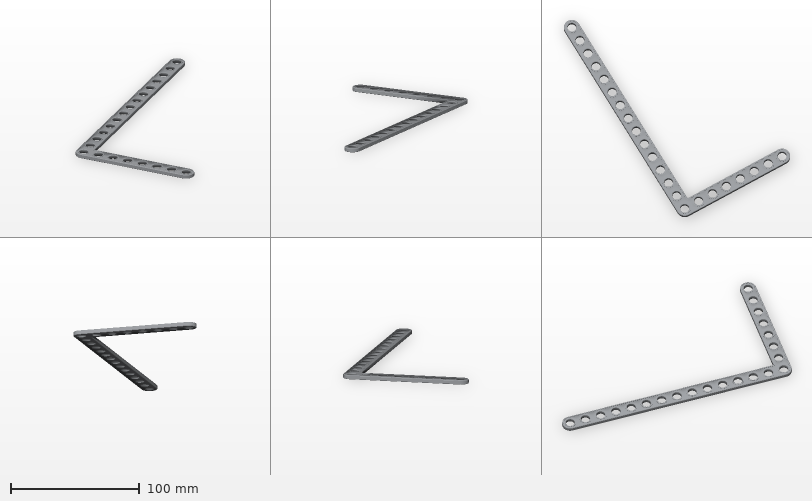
import cadquery as cq

LONG_ARM_HOLES = 15
SHORT_ARM_HOLES = 8
LENGTH = 187.5
THICKNESS = 3.2
HOLE_DIAMETER = 7.0
COLLAR_DIAMETER = 9.2
RIM_WIDTH = 1.1
FLOOR_DEPTH = 0.25
CHAMFER = 0.32

pitch = LENGTH / LONG_ARM_HOLES
arm_width = pitch
short_span = (SHORT_ARM_HOLES - 1) * pitch
long_span = (LONG_ARM_HOLES - 1) * pitch

hole_centres = [(i * pitch, 0) for i in range(SHORT_ARM_HOLES)]
hole_centres += [(0, i * pitch) for i in range(1, LONG_ARM_HOLES)]


def l_plate(width, bottom, height):
    """L-shaped plate with round ends and a round outer corner."""
    short_arm = (
        cq.Workplane("XY", origin=(short_span / 2, 0, bottom))
        .slot2D(short_span + width, width)
        .extrude(height)
    )
    long_arm = (
        cq.Workplane("XY", origin=(0, long_span / 2, bottom))
        .slot2D(long_span + width, width, 90)
        .extrude(height)
    )
    return short_arm.union(long_arm)


def cylinders(diameter, bottom, height):
    """One cylinder at every hole position."""
    return (
        cq.Workplane("XY", origin=(0, 0, bottom))
        .pushPoints(hole_centres)
        .circle(diameter / 2)
        .extrude(height)
    )


plate = l_plate(arm_width, 0, THICKNESS).cut(cylinders(HOLE_DIAMETER, 0, THICKNESS))
plate = plate.faces("<Z or >Z").edges().chamfer(CHAMFER)

floor_level = THICKNESS - FLOOR_DEPTH
recess = l_plate(arm_width - 2 * RIM_WIDTH, floor_level, FLOOR_DEPTH)
recess = recess.cut(cylinders(COLLAR_DIAMETER, floor_level, FLOOR_DEPTH))

result = plate.cut(recess)